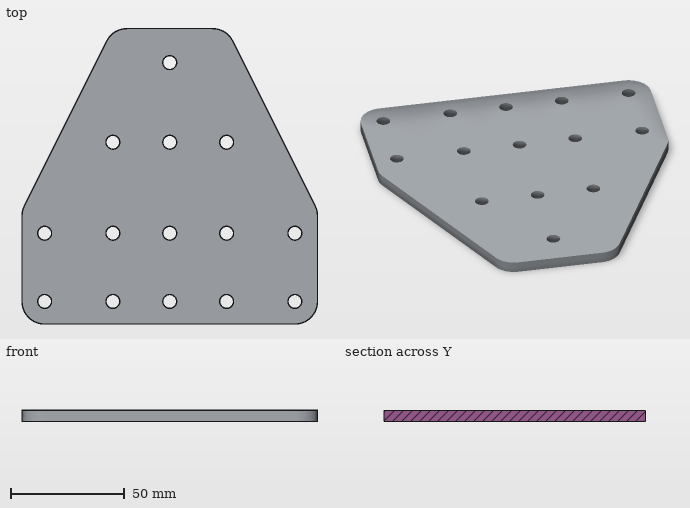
import cadquery as cq

width = 130.0
height = 130.0
thickness = 5.0
top_width = 50.0
shoulder_height = 50.0
corner_radius = 10.0

hole_diameter = 6.0
inner_column = 25.0
outer_column = 55.0
full_columns = [-outer_column, -inner_column, 0, inner_column, outer_column]
inner_columns = [-inner_column, 0, inner_column]

hole_rows = [
    (10.0, full_columns),
    (40.0, full_columns),
    (80.0, inner_columns),
    (115.0, [0]),
]


def make_plate():
    """Tapered plate, symmetric about X = 0, with all six corners rounded."""
    outline = [
        (-width / 2, 0),
        (width / 2, 0),
        (width / 2, shoulder_height),
        (top_width / 2, height),
        (-top_width / 2, height),
        (-width / 2, shoulder_height),
    ]
    plate = cq.Workplane("XY").polyline(outline).close().extrude(thickness)
    return plate.edges("|Z").fillet(corner_radius)


def make_holes():
    """Cylinders that pierce the full thickness at every hole position."""
    centres = [(x, y) for y, columns in hole_rows for x in columns]
    return cq.Workplane("XY").pushPoints(centres).circle(hole_diameter / 2).extrude(thickness)


result = make_plate().cut(make_holes())